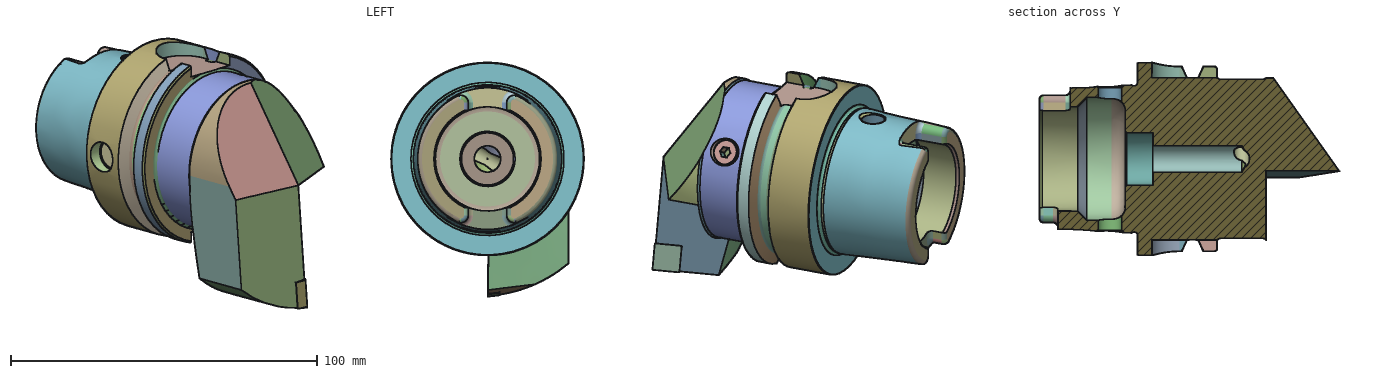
import cadquery as cq
import math


SHANK_LENGTH = 32.0
SHANK_END_RADIUS = 22.72
SHANK_TAPER_SLOPE = 0.05
SHANK_ROUND = 1.4
TAPER_END_X = -2.0
UNDERCUT_X = -1.1
UNDERCUT_RADIUS = 23.95
ROOT_FILLET = 1.05

BORE_DIAMETER = 34.0
BORE_CHAMFER = 0.5
BORE_CHAMFER_LENGTH = 1.0
CLAMP_EDGE_X = -19.5
CLAMP_DIAMETER = 40.0
CLAMP_ANGLE = 45.0
CAVITY_FLOOR_X = -4.0
CAVITY_FLOOR_ROUND = 4.5
TUBE_SEAT_DIAMETER = 17.0
TUBE_SEAT_CHAMFER = 0.5
TUBE_SEAT_DEPTH = 9.0
COOLANT_DIAMETER = 8.6
DRILL_POINT_HALF_ANGLE = 59.0

DRIVE_HALF_WIDTH = 6.27
DRIVE_SHOULDER_Z = 20.8
DRIVE_SHOULDER_ROUND = 2.4
DRIVE_END_ROUND = 1.5
UPPER_DRIVE_DEPTH = 10.0
LOWER_DRIVE_DEPTH = 6.0

ACCESS_X = -9.0
ACCESS_DIAMETER = 7.5
ACCESS_CHAMFER = 0.6

FLANGE_RADIUS = 31.5
FLANGE_WIDTH = 26.0
FLANGE_FRONT_CHAMFER = 0.2
FLANGE_BACK_CHAMFER = 0.6
GROOVE_CENTER_X = 18.0
GROOVE_WIDTH = 7.0
GROOVE_FLOOR_RADIUS = 27.5
GROOVE_WALL_ANGLE = 25.5
GROOVE_ROUND = 0.9
KEYWAY_WIDTH = 18.0
KEYWAY_START_X = 4.8
KEYWAY_FLOOR_Z = 26.5
CHIP_HOLE_X = 7.0
CHIP_HOLE_DIAMETER = 10.0
CHIP_HOLE_DEPTH = 4.6
CHIP_HOLE_FLOOR_CHAMFER = 0.3

NECK_RADIUS = 26.05
NECK_FILLET = 0.9
NECK_END_X = 41.3
HEAD_RADIUS = 26.5
HEAD_START_X = 42.0
TAIL_CONE_ANGLE = 15.0
TAIL_ARC_RADIUS = 45.75
TAIL_ARC_CENTER_Y = 3.0
TAIL_ARC_CENTER_Z = 0.9
RAKE_FACE_Y = -0.3
RIDGE_X = 63.3
RIDGE_TILT = 35.3
REAR_SLANT = 30.0
POCKET_TOP_Z = -4.0
POCKET_TOP_TILT = 4.7

TIP_X = 69.9
TIP_Z = -45.0
NOSE_RADIUS = 0.4
INSCRIBED_DIAMETER = 9.525
INSERT_THICKNESS = 3.97
INSERT_CORNER_ANGLE = 80.0
CLEARANCE_ANGLE = 7.0
EDGE_TILT = (90.0 - INSERT_CORNER_ANGLE) / 2
HOLDER_RELIEF = 0.2

PLUG_X = 34.0
PLUG_ELEVATION = 30.0
PLUG_DIAMETER = 8.0
PLUG_LENGTH = 8.0
PLUG_FACE_RADIUS = 25.7
PLUG_SINK_DIAMETER = 9.8
PLUG_SOCKET_WIDTH = 3.2
PLUG_SOCKET_DEPTH = 4.0
CROSS_HOLE_DIAMETER = 5.0
CROSS_HOLE_OVERRUN = 6.0

BIG = 200.0


def tan(degrees):
    return math.tan(math.radians(degrees))


def revolve_about_x(profile):
    return profile.close().revolve(360, (0, 0, 0), (1, 0, 0))


def beyond_plane(origin, normal):
    """Large block that fills the side of a plane to which its normal points."""
    return cq.Workplane(cq.Plane(origin=origin, normal=normal)).rect(BIG, BIG).extrude(BIG)


def drive_slot(depth, side):
    """Cutter for one drive slot; side is +1 for the top and -1 for the bottom."""
    r = DRIVE_SHOULDER_ROUND
    shoulder_y = DRIVE_HALF_WIDTH + r
    shoulder_start_z = DRIVE_SHOULDER_Z - r
    outer = FLANGE_RADIUS
    mid = r * (1 - math.sqrt(0.5))
    cutter = (
        cq.Workplane("YZ", origin=(-SHANK_LENGTH, 0, 0))
        .moveTo(-DRIVE_HALF_WIDTH, 0)
        .lineTo(DRIVE_HALF_WIDTH, 0)
        .lineTo(DRIVE_HALF_WIDTH, shoulder_start_z)
        .threePointArc((DRIVE_HALF_WIDTH + mid, DRIVE_SHOULDER_Z - mid), (shoulder_y, DRIVE_SHOULDER_Z))
        .lineTo(outer, DRIVE_SHOULDER_Z)
        .lineTo(outer, outer)
        .lineTo(-outer, outer)
        .lineTo(-outer, DRIVE_SHOULDER_Z)
        .lineTo(-shoulder_y, DRIVE_SHOULDER_Z)
        .threePointArc((-DRIVE_HALF_WIDTH - mid, DRIVE_SHOULDER_Z - mid), (-DRIVE_HALF_WIDTH, shoulder_start_z))
        .close()
        .extrude(depth)
    )
    end_edges = cutter.faces(">X").edges().filter(lambda edge: 0 < edge.Center().z < outer - 1)
    end_edges = end_edges.filter(lambda edge: abs(edge.Center().y) < outer - 1)
    cutter = end_edges.fillet(DRIVE_END_ROUND)
    return cutter if side > 0 else cutter.rotate((0, 0, 0), (1, 0, 0), 180)


def make_shank():
    """Taper shank with its drive slots, still without the cavity."""
    taper_end_radius = SHANK_END_RADIUS + SHANK_TAPER_SLOPE * (SHANK_LENGTH + TAPER_END_X)
    shank = revolve_about_x(
        cq.Workplane("XY")
        .moveTo(-SHANK_LENGTH, 0)
        .lineTo(-SHANK_LENGTH, SHANK_END_RADIUS)
        .lineTo(TAPER_END_X, taper_end_radius)
        .lineTo(UNDERCUT_X, UNDERCUT_RADIUS)
        .radiusArc((UNDERCUT_X + ROOT_FILLET, UNDERCUT_RADIUS + ROOT_FILLET), -ROOT_FILLET)
        .lineTo(1, UNDERCUT_RADIUS + ROOT_FILLET)
        .lineTo(1, 0)
    )
    shank = shank.cut(drive_slot(UPPER_DRIVE_DEPTH, 1))
    shank = shank.cut(drive_slot(LOWER_DRIVE_DEPTH, -1))
    end_core = cq.Workplane("YZ", origin=(-SHANK_LENGTH, 0, 0)).circle(BORE_DIAMETER / 2).extrude(SHANK_LENGTH / 2)
    shank = shank.cut(end_core)
    bore_radius = BORE_DIAMETER / 2

    def is_outer(edge):
        return any(
            math.hypot(p.y, p.z) > bore_radius + 0.1 for p in (edge.startPoint(), edge.positionAt(0.5))
        )

    return shank.faces("<X").edges().filter(is_outer).fillet(SHANK_ROUND)


def cut_cavity(body):
    bore_radius = BORE_DIAMETER / 2
    clamp_radius = CLAMP_DIAMETER / 2
    clamp_full_x = CLAMP_EDGE_X + (clamp_radius - bore_radius) / tan(CLAMP_ANGLE)
    seat_radius = TUBE_SEAT_DIAMETER / 2
    seat_end_x = CAVITY_FLOOR_X + TUBE_SEAT_DEPTH
    drill_point_x = PLUG_X + COOLANT_DIAMETER / 2 / tan(DRILL_POINT_HALF_ANGLE)
    cavity = revolve_about_x(
        cq.Workplane("XY")
        .moveTo(-SHANK_LENGTH, 0)
        .lineTo(-SHANK_LENGTH, bore_radius + BORE_CHAMFER)
        .lineTo(-SHANK_LENGTH + BORE_CHAMFER_LENGTH, bore_radius)
        .lineTo(CLAMP_EDGE_X, bore_radius)
        .lineTo(clamp_full_x, clamp_radius)
        .lineTo(CAVITY_FLOOR_X - CAVITY_FLOOR_ROUND, clamp_radius)
        .radiusArc((CAVITY_FLOOR_X, clamp_radius - CAVITY_FLOOR_ROUND), CAVITY_FLOOR_ROUND)
        .lineTo(CAVITY_FLOOR_X, seat_radius + TUBE_SEAT_CHAMFER)
        .lineTo(CAVITY_FLOOR_X + TUBE_SEAT_CHAMFER, seat_radius)
        .lineTo(seat_end_x, seat_radius)
        .lineTo(seat_end_x, COOLANT_DIAMETER / 2)
        .lineTo(PLUG_X, COOLANT_DIAMETER / 2)
        .lineTo(drill_point_x, 0)
    )
    return body.cut(cavity)


def cut_access_hole(body):
    """Radial hole through both walls of the shank, countersunk outside."""
    hole = cq.Workplane("XY", origin=(ACCESS_X, 0, 0)).circle(ACCESS_DIAMETER / 2).extrude(FLANGE_RADIUS, both=True)
    body = body.cut(hole)
    surface_radius = SHANK_END_RADIUS + SHANK_TAPER_SLOPE * (SHANK_LENGTH + ACCESS_X)
    sink = cq.Workplane("XY").add(
        cq.Solid.makeCone(
            ACCESS_DIAMETER / 2 - 1,
            ACCESS_DIAMETER / 2 + 1 + ACCESS_CHAMFER,
            2 + ACCESS_CHAMFER,
            cq.Vector(ACCESS_X, 0, surface_radius - ACCESS_CHAMFER - 1),
            cq.Vector(0, 0, 1),
        )
    )
    return body.cut(sink).cut(sink.rotate((0, 0, 0), (1, 0, 0), 180))


def make_flange_and_neck():
    groove_drop = (FLANGE_RADIUS - GROOVE_FLOOR_RADIUS) * tan(GROOVE_WALL_ANGLE)
    groove_start = GROOVE_CENTER_X - GROOVE_WIDTH / 2
    groove_end = GROOVE_CENTER_X + GROOVE_WIDTH / 2
    flange = revolve_about_x(
        cq.Workplane("XY")
        .lineTo(0, FLANGE_RADIUS - FLANGE_FRONT_CHAMFER)
        .lineTo(FLANGE_FRONT_CHAMFER, FLANGE_RADIUS)
        .lineTo(groove_start, FLANGE_RADIUS)
        .lineTo(groove_start + groove_drop, GROOVE_FLOOR_RADIUS)
        .lineTo(groove_end - groove_drop, GROOVE_FLOOR_RADIUS)
        .lineTo(groove_end, FLANGE_RADIUS)
        .lineTo(FLANGE_WIDTH - FLANGE_BACK_CHAMFER, FLANGE_RADIUS)
        .lineTo(FLANGE_WIDTH, FLANGE_RADIUS - FLANGE_BACK_CHAMFER)
        .lineTo(FLANGE_WIDTH, NECK_RADIUS + NECK_FILLET)
        .radiusArc((FLANGE_WIDTH + NECK_FILLET, NECK_RADIUS), -NECK_FILLET)
        .lineTo(NECK_END_X, NECK_RADIUS)
        .lineTo(HEAD_START_X, HEAD_RADIUS)
        .lineTo(HEAD_START_X, 0)
    )
    groove_roots = flange.edges("%CIRCLE").filter(
        lambda edge: abs(edge.radius() - GROOVE_FLOOR_RADIUS) < 0.01
    )
    flange = groove_roots.fillet(GROOVE_ROUND)
    for side in (1, -1):
        flange = flange.cut(keyway(side))
    return flange


def keyway(side):
    """Cutter for a round-ended flat-bottomed keyway that opens at the back of the flange."""
    half = KEYWAY_WIDTH / 2
    cutter = (
        cq.Workplane("XY", origin=(0, 0, KEYWAY_FLOOR_Z))
        .moveTo(FLANGE_WIDTH + NECK_FILLET, -half)
        .lineTo(FLANGE_WIDTH + NECK_FILLET, half)
        .lineTo(KEYWAY_START_X + half, half)
        .threePointArc((KEYWAY_START_X, 0), (KEYWAY_START_X + half, -half))
        .close()
        .extrude(FLANGE_RADIUS)
    )
    return cutter if side > 0 else cutter.rotate((0, 0, 0), (1, 0, 0), 180)


def cut_chip_hole(body):
    """Blind hole for a data chip in the -Y side of the flange."""
    hole = (
        cq.Workplane("XZ", origin=(CHIP_HOLE_X, -FLANGE_RADIUS + CHIP_HOLE_DEPTH, 0))
        .circle(CHIP_HOLE_DIAMETER / 2)
        .extrude(CHIP_HOLE_DEPTH)
        .faces(">Y")
        .chamfer(CHIP_HOLE_FLOOR_CHAMFER)
    )
    return body.cut(hole)


def insert_corner():
    """Sharp corner of the insert outline, from which both cutting edges start."""
    offset = NOSE_RADIUS / math.sin(math.radians(INSERT_CORNER_ANGLE / 2)) * math.sqrt(0.5)
    return TIP_X - NOSE_RADIUS + offset, TIP_Z + NOSE_RADIUS - offset


def make_insert():
    corner_x, corner_z = insert_corner()
    edge_length = INSCRIBED_DIAMETER / math.sin(math.radians(INSERT_CORNER_ANGLE))
    long_step = edge_length * math.cos(math.radians(EDGE_TILT))
    short_step = edge_length * math.sin(math.radians(EDGE_TILT))
    corners = [
        (corner_x, corner_z),
        (corner_x - short_step, corner_z + long_step),
        (corner_x - short_step - long_step, corner_z + long_step + short_step),
        (corner_x - long_step, corner_z + short_step),
        (corner_x, corner_z),
    ]
    outline = cq.Sketch().polygon(corners).vertices().fillet(NOSE_RADIUS)
    return cq.Workplane("XZ").placeSketch(outline).extrude(INSERT_THICKNESS, taper=CLEARANCE_ANGLE)


def make_head():
    """Round head with the downward tail that carries the insert."""
    head_length = TIP_X - HEAD_START_X
    head = cq.Workplane("YZ", origin=(HEAD_START_X, 0, 0)).circle(HEAD_RADIUS).extrude(head_length)
    tail_arc = (
        cq.Workplane("YZ", origin=(HEAD_START_X, 0, 0))
        .center(TAIL_ARC_CENTER_Y, TAIL_ARC_CENTER_Z)
        .circle(TAIL_ARC_RADIUS)
        .extrude(head_length)
    )
    cone_radius = HEAD_RADIUS + head_length / tan(TAIL_CONE_ANGLE)
    back_cone = revolve_about_x(
        cq.Workplane("XY")
        .moveTo(HEAD_START_X, 0)
        .lineTo(HEAD_START_X, HEAD_RADIUS)
        .lineTo(TIP_X, cone_radius)
        .lineTo(TIP_X, 0)
    )
    tail_block = (
        cq.Workplane("YZ", origin=(HEAD_START_X, 0, 0))
        .moveTo(-HEAD_RADIUS, 0)
        .lineTo(RAKE_FACE_Y, 0)
        .lineTo(RAKE_FACE_Y, -BIG)
        .lineTo(-HEAD_RADIUS, -BIG)
        .close()
        .extrude(head_length)
    )
    return head.union(tail_block.intersect(tail_arc).intersect(back_cone))


def cut_head_faces(body):
    """Slanted and clearance faces of the head, and the chip space in front of the insert."""
    corner_x, corner_z = insert_corner()
    ridge = (RIDGE_X, RAKE_FACE_Y, 0)
    tilt = tan(RIDGE_TILT)
    clearance = tan(CLEARANCE_ANGLE)
    edge = tan(EDGE_TILT)
    front_slope = beyond_plane(ridge, (1, -clearance, tilt))
    rear_slope = beyond_plane(ridge, (1, tan(REAR_SLANT), tilt))
    end_flank = beyond_plane((corner_x - HOLDER_RELIEF, 0, corner_z), (1, -clearance, edge))
    lower_flank = beyond_plane((corner_x, 0, corner_z + HOLDER_RELIEF), (-edge, -clearance, -1))
    pocket = beyond_plane((HEAD_START_X, 0, POCKET_TOP_Z), (0, -tan(POCKET_TOP_TILT), -1)).intersect(
        cq.Workplane("XY").box(BIG, BIG, BIG, centered=(False, False, True)).translate((HEAD_START_X, RAKE_FACE_Y, 0))
    )
    for cutter in (front_slope, rear_slope, end_flank, lower_flank, pocket):
        body = body.cut(cutter)
    return body


def plug_plane(distance):
    """Plane across the cross hole, at a distance from the holder axis."""
    angle = math.radians(PLUG_ELEVATION)
    direction = cq.Vector(0, math.cos(angle), math.sin(angle))
    center = cq.Vector(PLUG_X, 0, 0) + direction * distance
    return cq.Plane(origin=center, xDir=(1, 0, 0), normal=direction)


def make_plug():
    bottom = PLUG_FACE_RADIUS - PLUG_LENGTH
    plug = cq.Workplane(plug_plane(bottom)).circle(PLUG_DIAMETER / 2).extrude(PLUG_LENGTH)
    socket = (
        cq.Workplane(plug_plane(PLUG_FACE_RADIUS - PLUG_SOCKET_DEPTH))
        .transformed(rotate=(0, 0, 30))
        .polygon(6, PLUG_SOCKET_WIDTH, circumscribed=True)
        .extrude(PLUG_SOCKET_DEPTH)
    )
    return plug.cut(socket)


def cut_cross_hole(body):
    """Radial coolant hole with the threaded seat of the plug and its countersink."""
    start = -CROSS_HOLE_OVERRUN
    hole = cq.Workplane(plug_plane(start)).circle(CROSS_HOLE_DIAMETER / 2).extrude(PLUG_FACE_RADIUS - start)
    seat_bottom = PLUG_FACE_RADIUS - PLUG_LENGTH
    seat = cq.Workplane(plug_plane(seat_bottom)).circle(PLUG_DIAMETER / 2).extrude(FLANGE_RADIUS - seat_bottom)
    sink_depth = (PLUG_SINK_DIAMETER - PLUG_DIAMETER) / 2
    sink = (
        cq.Workplane(plug_plane(NECK_RADIUS - sink_depth))
        .circle(PLUG_DIAMETER / 2)
        .workplane(offset=sink_depth)
        .circle(PLUG_SINK_DIAMETER / 2)
        .loft()
    )
    return body.cut(hole).cut(seat).cut(sink)


def make_holder():
    body = make_flange_and_neck().union(make_shank()).union(make_head())
    body = cut_head_faces(body)
    body = cut_cavity(body)
    body = cut_access_hole(body)
    body = cut_chip_hole(body)
    body = cut_cross_hole(body)
    return body


insert = make_insert()
plug = make_plug()
holder = make_holder().cut(insert)

result = cq.Compound.makeCompound([holder.val(), insert.val(), plug.val()])